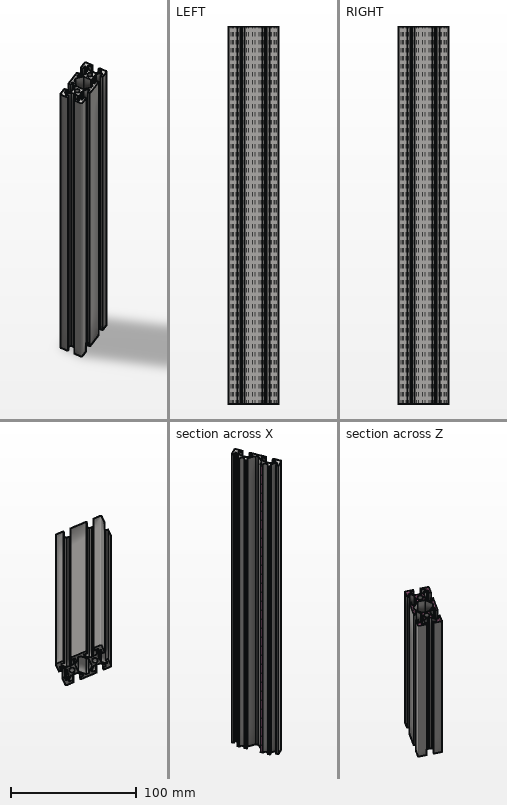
import cadquery as cq

length = 300.0
module = 60 / 3
width = module
depth = 2 * module
corner_radius = 1.0

slot_opening = 6.0
lip_thickness = 2.0
chamber_width = 12.0
core_size = 8.0

web_thickness = 1.5
bore_diameter = 4.2
cavity_wall = 2.25

tooth_depth = 0.3
ramp_start = -2.55
ramp_end = -1.05
crest = -1.0
groove_bottom = 0.0
groove_end = 0.5

overlap = 3.0
face_distance = module / 2
cell_offset = module / 2
core_face = core_size / 2
web_offset = web_thickness / 2 ** 0.5
floor_corner = core_face - web_offset


def prism(points):
    return cq.Workplane("XY").polyline(points).close().extrude(length)


def slot_cutter():
    """T-slot opening toward +Y, for a cell centred on the origin."""
    half_opening = slot_opening / 2
    half_chamber = chamber_width / 2
    lip_inside = face_distance - lip_thickness
    right = [
        (floor_corner, core_face),
        (half_chamber, half_chamber + web_offset),
        (half_chamber, lip_inside),
        (half_opening, lip_inside),
        (half_opening, face_distance + overlap),
    ]
    left = [(-x, y) for x, y in reversed(right)]
    tooth_bottom = core_face - tooth_depth
    serration = [
        (ramp_start, core_face),
        (ramp_end, tooth_bottom),
        (crest, core_face),
        (groove_bottom, tooth_bottom),
        (groove_end, core_face),
    ]
    return prism(left + serration + right)


def central_cavity():
    """Eight-sided opening between the two cores, bounded by the webs and the side walls."""
    half_width = width / 2 - cavity_wall
    half_depth = cell_offset - core_face
    side_end = half_depth - (half_width - floor_corner)
    upper_right = [(floor_corner, half_depth), (half_width, side_end)]
    right = upper_right + [(x, -y) for x, y in reversed(upper_right)]
    left = [(-x, -y) for x, y in right]
    return prism(right + left)


def cell_cutters():
    """Three slots and the bore of the +Y cell."""
    end_slot = slot_cutter()
    right_slot = end_slot.rotate((0, 0, 0), (0, 0, 1), -90).mirror("XZ")
    left_slot = right_slot.mirror("YZ")
    cutters = cq.Workplane("XY").circle(bore_diameter / 2).extrude(length)
    for slot in (end_slot, right_slot, left_slot):
        cutters = cutters.union(slot)
    return cutters.translate((0, cell_offset, 0))


upper_cell = cell_cutters()
result = (
    cq.Workplane("XY")
    .rect(width, depth)
    .extrude(length)
    .edges("|Z")
    .fillet(corner_radius)
    .cut(central_cavity())
    .cut(upper_cell)
    .cut(upper_cell.mirror("XZ"))
)